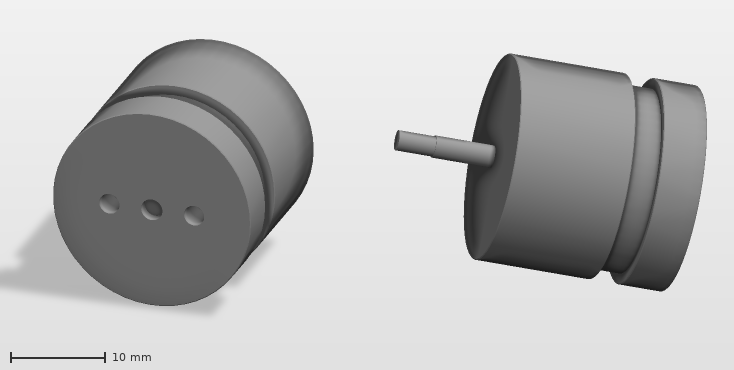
import cadquery as cq
import math

total_length = 31.1
housing_length = 20.55
housing_diameter = 22.25
edge_chamfer = 0.1

groove_diameter = 19.95
groove_start = 4.75
groove_end = 7.9

pin_diameter = 2.4
tail_diameter = 2.18
tail_length = 4.05
pin_recess = 1.2

blind_hole_diameter = 2.27
blind_hole_offset = 4.75
blind_hole_depth = 3.73
drill_point_angle = 118.0


def cylinder(diameter, start, end):
    """Cylinder on the part axis between two distances from the front face."""
    return (
        cq.Workplane("XZ", origin=(0, start, 0))
        .circle(diameter / 2)
        .extrude(start - end)
    )


def chamfered_rim(start, end):
    """Full-diameter section with both edges chamfered."""
    return cylinder(housing_diameter, start, end).edges("%CIRCLE").chamfer(edge_chamfer)


def blind_hole(x):
    """Cutter for a drilled hole with a conical bottom."""
    radius = blind_hole_diameter / 2
    tip_depth = blind_hole_depth + radius / math.tan(math.radians(drill_point_angle / 2))
    return (
        cq.Workplane("XY")
        .polyline([(0, 0), (radius, 0), (radius, blind_hole_depth), (0, tip_depth)])
        .close()
        .revolve(360, (0, 0), (0, 1))
        .translate((x, 0, 0))
    )


def make_housing():
    """Grooved housing with a through bore for the pin and two blind holes."""
    housing = (
        chamfered_rim(0, groove_start)
        .union(cylinder(groove_diameter, groove_start, groove_end))
        .union(chamfered_rim(groove_end, housing_length))
        .cut(cylinder(pin_diameter, 0, housing_length))
    )
    for x in (-blind_hole_offset, blind_hole_offset):
        housing = housing.cut(blind_hole(x))
    return housing


def make_pin():
    """Pin recessed below the front face, with a thinner tail at the rear."""
    tail_start = total_length - tail_length
    return cylinder(pin_diameter, pin_recess, tail_start).union(
        cylinder(tail_diameter, tail_start, total_length)
    )


housing = make_housing()
pin = make_pin()
result = cq.Compound.makeCompound([housing.val(), pin.val()])